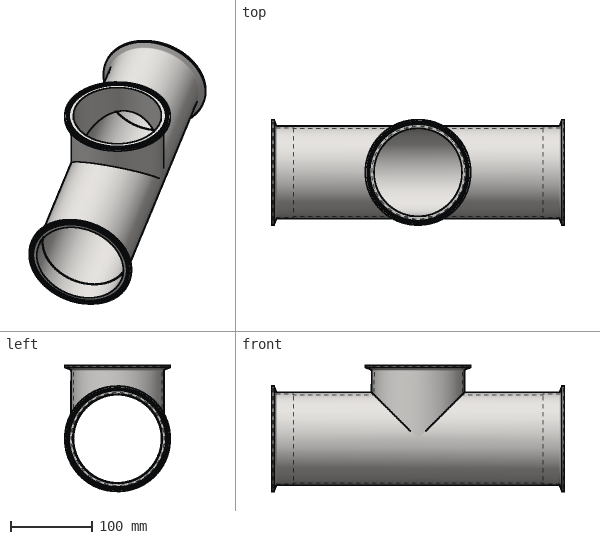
import cadquery as cq
import math

run_length = 360
branch_height = 90.55
tube_diameter = 114.5
tube_bore = 108.5

ferrule_bore = 110.0
ferrule_bore_depth = 26.3
flange_diameter = 130.0
rim_thickness = 3.0
flange_back_angle = 20
neck_fillet = 1.8

groove_outer_radius = 62.5
groove_inner_radius = 59.5
groove_wall_run = 0.7
groove_depth = 1.5

run_ends = [
    cq.Plane(origin=(side * run_length / 2, 0, 0), xDir=(0, 1, 0), normal=(side, 0, 0))
    for side in (-1, 1)
]
branch_end = cq.Plane(origin=(0, 0, branch_height), xDir=(1, 0, 0), normal=(0, 0, 1))


def cylinder(plane, diameter, depth):
    """Make a cylinder reaching inward from an end face."""
    return cq.Workplane(plane).circle(diameter / 2).extrude(-depth)


def revolve_profile(plane, draw_profile):
    """Revolve a (radius, height) profile about the normal through the end face centre."""
    profile_plane = cq.Plane(origin=plane.origin, xDir=plane.xDir, normal=plane.xDir.cross(plane.zDir))
    return draw_profile(cq.Workplane(profile_plane)).close().revolve(360, (0, 0), (0, 1))


def flange(plane):
    """Make a rim with a conical back that blends into the tube through a fillet."""
    back_angle = math.radians(flange_back_angle)
    rim_radius = flange_diameter / 2
    tube_radius = tube_diameter / 2

    corner_depth = rim_thickness + (rim_radius - tube_radius) * math.tan(back_angle)
    tangent_length = neck_fillet * math.tan((math.pi / 2 - back_angle) / 2)
    flange_depth = corner_depth + tangent_length
    cone_end = (
        tube_radius + tangent_length * math.cos(back_angle),
        -corner_depth + tangent_length * math.sin(back_angle),
    )
    return revolve_profile(plane, lambda sketch: (
        sketch.lineTo(rim_radius, 0)
        .lineTo(rim_radius, -rim_thickness)
        .lineTo(*cone_end)
        .radiusArc((tube_radius, -flange_depth), -neck_fillet)
        .lineTo(0, -flange_depth)
    ))


def gasket_groove(plane):
    """Make the ring removed from an end face to seat a gasket."""
    return revolve_profile(plane, lambda sketch: sketch.polyline([
        (groove_inner_radius, 0),
        (groove_outer_radius, 0),
        (groove_outer_radius - groove_wall_run, -groove_depth),
        (groove_inner_radius + groove_wall_run, -groove_depth),
    ]))


body = cylinder(run_ends[0], tube_diameter, run_length)
body = body.union(cylinder(branch_end, tube_diameter, branch_height))
for end in (*run_ends, branch_end):
    body = body.union(flange(end))

body = body.cut(cylinder(run_ends[0], tube_bore, run_length))
body = body.cut(cylinder(branch_end, tube_bore, branch_height))

for end in run_ends:
    body = body.cut(cylinder(end, ferrule_bore, ferrule_bore_depth))

for end in (*run_ends, branch_end):
    body = body.cut(gasket_groove(end))

result = body